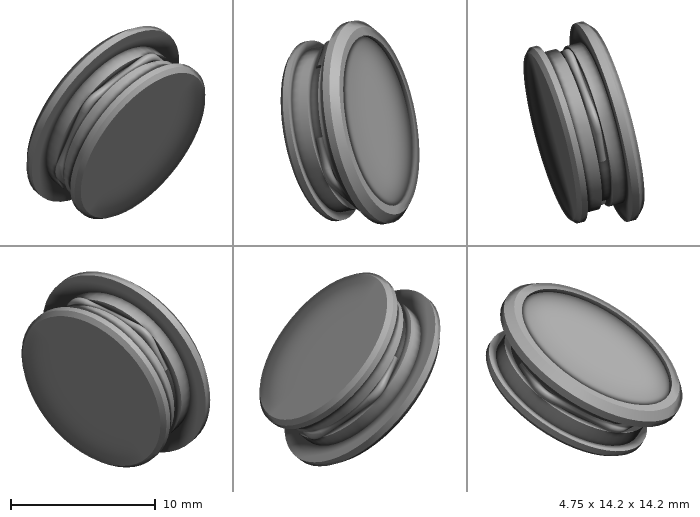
import cadquery as cq
import math

total_length = 4.75
head_radius = 7.115
head_length = 1.04
head_chamfer_length = 0.52
head_face_radius = 6.59
barrel_radius = 5.75
groove_radius = 5.25
groove_start = 2.02
groove_width = 0.8
groove_end = groove_start + groove_width
rim_radius = 6.31
rim_length = 0.73
rim_chamfer = 0.3
rim_start = total_length - rim_length

recess_radius = 5.98
recess_depth = 0.3

wire_radius = 0.31
wire_x = 2.43
wire_apothem = 5.18
wire_bend_radius = 1.3
wire_sides = 6
corner_step = 360 / wire_sides


def make_body():
    """Turned profile with head, grooved barrel and end rim."""
    profile = (
        cq.Workplane("XY")
        .moveTo(0, 0)
        .lineTo(0, head_face_radius)
        .lineTo(head_chamfer_length, head_radius)
        .lineTo(head_length, head_radius)
        .lineTo(head_length, barrel_radius)
        .lineTo(groove_start, barrel_radius)
        .lineTo(groove_start, groove_radius)
        .lineTo(groove_end, groove_radius)
        .lineTo(groove_end, barrel_radius)
        .lineTo(rim_start, barrel_radius)
        .lineTo(rim_start, rim_radius)
        .lineTo(total_length - rim_chamfer, rim_radius)
        .lineTo(total_length, rim_radius - rim_chamfer)
        .lineTo(total_length, 0)
        .close()
    )
    return profile.revolve(360, (0, 0, 0), (1, 0, 0))


def make_face_recess():
    """Disc removed from the head face."""
    return cq.Workplane("YZ").circle(recess_radius).extrude(recess_depth)


def polar(radius, angle):
    """Point (Y, Z) at a radius and an angle in degrees from +Y."""
    return (radius * math.cos(math.radians(angle)), radius * math.sin(math.radians(angle)))


def make_spring_wire():
    """Wire swept round every corner but the +Y one, its ends at the middles of the two sides there."""
    half_step = corner_step / 2
    bend_half_angle = math.radians(half_step)
    bend_centre_radius = (wire_apothem - wire_bend_radius) / math.cos(bend_half_angle)

    start = polar(wire_apothem, half_step)
    path = cq.Workplane("YZ", origin=(wire_x, 0, 0)).moveTo(*start)
    for corner in range(1, wire_sides):
        corner_angle = corner * corner_step
        centre_y, centre_z = polar(bend_centre_radius, corner_angle)
        bend_points = []
        for offset in (-half_step, 0, half_step):
            bend_y, bend_z = polar(wire_bend_radius, corner_angle + offset)
            bend_points.append((centre_y + bend_y, centre_z + bend_z))
        bend_start, bend_middle, bend_end = bend_points
        path = path.lineTo(*bend_start).threePointArc(bend_middle, bend_end)
    path = path.lineTo(*polar(wire_apothem, -half_step))

    start_direction = polar(1, half_step + 90)
    section_plane = cq.Plane(
        origin=(wire_x, *start),
        xDir=(1, 0, 0),
        normal=(0, *start_direction),
    )
    return cq.Workplane(section_plane).circle(wire_radius).sweep(path)


result = make_body().cut(make_face_recess()).union(make_spring_wire())